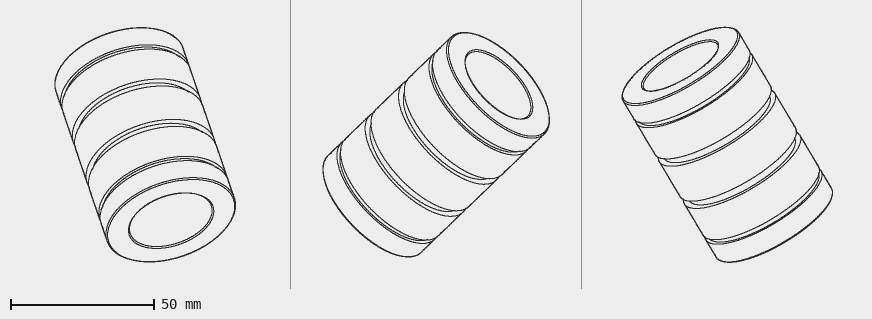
import cadquery as cq

length = 68.0
outer_diameter = 47.0
bore_diameter = 30.0
edge_chamfer = 0.5

ring_groove_diameter = 44.5
ring_groove_width = 1.9
ring_groove_offset = 24.95
wide_groove_diameter = 42.7
wide_groove_width = 3.1
wide_groove_offset = 9.05


def make_sleeve():
    """Plain tube with all four end edges chamfered."""
    tube = (
        cq.Workplane("YZ", origin=(-length / 2, 0, 0))
        .circle(outer_diameter / 2)
        .circle(bore_diameter / 2)
        .extrude(length)
    )
    return tube.faces("<X or >X").edges().chamfer(edge_chamfer)


def make_groove_cutter(center_x, width, floor_diameter):
    """Ring that removes the material outside the groove floor."""
    return (
        cq.Workplane("YZ", origin=(center_x - width / 2, 0, 0))
        .circle(outer_diameter)
        .circle(floor_diameter / 2)
        .extrude(width)
    )


result = make_sleeve()
for side in (-1, 1):
    result = result.cut(
        make_groove_cutter(side * ring_groove_offset, ring_groove_width, ring_groove_diameter)
    )
    result = result.cut(
        make_groove_cutter(side * wide_groove_offset, wide_groove_width, wide_groove_diameter)
    )